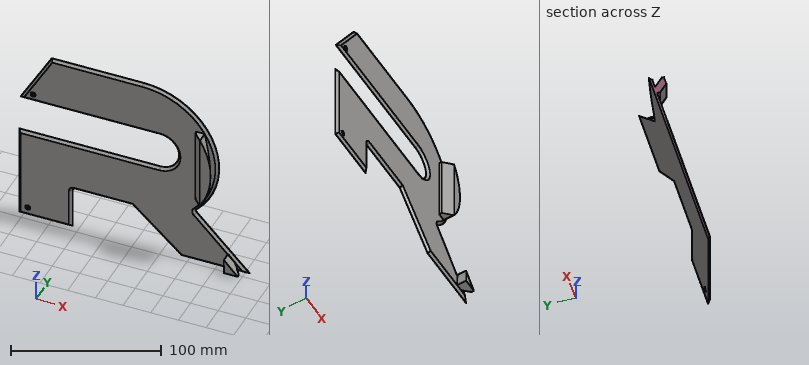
import cadquery as cq
import math

width = 166.7
height = 136.0
plate_thickness = 2.0
bevel_angle = 45
corner_radius = 1.7

bowl_radius = 55.0
bowl_x = 89.7
bowl_z = height - bowl_radius

neck_x = 127.2
neck_z = bowl_z - math.sqrt(bowl_radius**2 - (neck_x - bowl_x)**2)

top_left_x = 23.7
upper_tip_x = 1.0

slot_radius = 13.5
slot_end_x = 102.0
slot_z = 83.3

left_leg_width = 38.8
crotch_z = 31.8
crotch_right_x = 82.0
right_leg_inner_x = 117.5

hole_diameter = 3.5
hole_centres = [(10.8, 102.8), (7.0, 7.0)]

bowl_hook_depth = 8.0
bowl_hook_left = 129.0
bowl_hook_wall = 2.0
bowl_hook_half_length = 27.5

foot_hook_depth = 7.0
foot_hook_left = 151.8
foot_hook_right = 161.8
foot_hook_lip = 2.2
foot_hook_height = 11.0

front_y = -plate_thickness
inner_bowl_radius = bowl_radius - plate_thickness


def make_plate():
    outline = (
        cq.Workplane("XZ")
        .moveTo(0, 0)
        .lineTo(0, slot_z - slot_radius)
        .lineTo(slot_end_x, slot_z - slot_radius)
        .threePointArc((slot_end_x + slot_radius, slot_z), (slot_end_x, slot_z + slot_radius))
        .lineTo(upper_tip_x, slot_z + slot_radius)
        .lineTo(top_left_x, height)
        .lineTo(bowl_x, height)
        .threePointArc((bowl_x + bowl_radius, bowl_z), (neck_x, neck_z))
        .lineTo(width, 0)
        .lineTo(right_leg_inner_x, 0)
        .lineTo(crotch_right_x, crotch_z)
        .lineTo(left_leg_width, crotch_z)
        .lineTo(left_leg_width, 0)
        .close()
    )
    blank = outline.extrude(plate_thickness)
    for x, z in [(neck_x, neck_z), (left_leg_width, crotch_z)]:
        corner = cq.selectors.NearestToPointSelector((x, front_y / 2, z))
        blank = blank.edges("|Y").edges(corner).fillet(corner_radius)
    back_wire = blank.faces(">Y").wires().val()
    return cq.Workplane("XZ").add(back_wire).toPending().extrude(plate_thickness, taper=bevel_angle)


def make_bowl_hook():
    """Sloping hook whose outer wall follows the inner edge of the bowl bevel."""
    tip_y = front_y - bowl_hook_depth
    chord_x = bowl_x + math.sqrt(inner_bowl_radius**2 - bowl_hook_half_length**2)
    bowl_right = bowl_x + inner_bowl_radius
    prism = (
        cq.Workplane("XY", origin=(0, 0, bowl_z))
        .polyline([
            (bowl_hook_left, front_y),
            (bowl_hook_left, front_y - bowl_hook_wall),
            (chord_x, tip_y),
            (bowl_right, tip_y),
            (bowl_right - bowl_hook_depth, front_y),
        ])
        .close()
        .extrude(bowl_hook_half_length, both=True)
    )
    bowl = cq.Workplane("XZ").center(bowl_x, bowl_z).circle(inner_bowl_radius).extrude(-tip_y)
    return prism.intersect(bowl)


def make_foot_hook():
    """Triangular hook in the foot corner, undercut at 45 degrees behind its lip."""
    tip_y = front_y - foot_hook_depth
    undercut = foot_hook_depth - foot_hook_lip
    hook_bottom = plate_thickness
    prism = (
        cq.Workplane("XY", origin=(0, 0, hook_bottom))
        .polyline([
            (foot_hook_left, front_y),
            (foot_hook_left, tip_y),
            (foot_hook_right, tip_y),
            (foot_hook_right, tip_y + foot_hook_lip),
            (foot_hook_right - undercut, front_y),
        ])
        .close()
        .extrude(foot_hook_height)
    )
    triangle = (
        cq.Workplane("XZ")
        .moveTo(foot_hook_left, hook_bottom)
        .lineTo(foot_hook_right, hook_bottom)
        .lineTo(foot_hook_left, hook_bottom + foot_hook_height)
        .close()
        .extrude(-tip_y)
    )
    return prism.intersect(triangle)


holes = cq.Workplane("XZ").pushPoints(hole_centres).circle(hole_diameter / 2).extrude(plate_thickness)
result = make_plate().cut(holes).union(make_bowl_hook()).union(make_foot_hook())